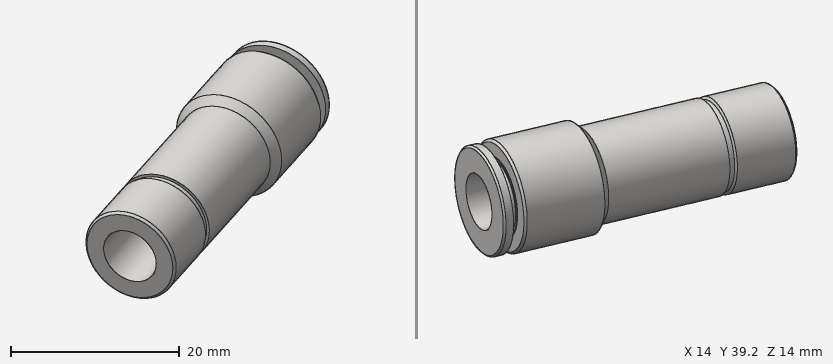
import cadquery as cq

total_length = 39.2
bore_diameter = 7.0

stem_diameter = 12.0
stem_end_chamfer = 0.3
groove_diameter = 11.3
groove_lead_start = 8.0
groove_lead_length = 0.2
groove_end = 9.0

body_diameter = 14.0
body_start = 25.0
body_shoulder_length = 1.0
body_length = 11.55
body_top_chamfer = 0.3
body_end = body_start + body_length

rim_diameter = 10.0
rim_height = 0.12
rim_end = body_end + rim_height

neck_diameter = 9.4
flange_diameter = 13.6
flange_thickness = 1.25
flange_edge_chamfer = 0.25
flange_start = total_length - flange_thickness

bore_radius = bore_diameter / 2
stem_radius = stem_diameter / 2
groove_radius = groove_diameter / 2
body_radius = body_diameter / 2
rim_radius = rim_diameter / 2
neck_radius = neck_diameter / 2
flange_radius = flange_diameter / 2


def stem_outline():
    """(radius, Y) points of the stem, from the plug end to the body."""
    return [
        (stem_radius - stem_end_chamfer, 0),
        (stem_radius, stem_end_chamfer),
        (stem_radius, groove_lead_start),
        (groove_radius, groove_lead_start + groove_lead_length),
        (groove_radius, groove_end),
        (stem_radius, groove_end),
        (stem_radius, body_start),
    ]


def body_outline():
    """(radius, Y) points of the body and the low rim on its end face."""
    return [
        (body_radius, body_start + body_shoulder_length),
        (body_radius, body_end - body_top_chamfer),
        (body_radius - body_top_chamfer, body_end),
        (rim_radius, body_end),
        (rim_radius, rim_end),
    ]


def collar_outline():
    """(radius, Y) points of the release collar, from the rim to the open end."""
    return [
        (neck_radius, rim_end),
        (neck_radius, flange_start),
        (flange_radius, flange_start),
        (flange_radius, total_length - flange_edge_chamfer),
        (flange_radius - flange_edge_chamfer, total_length),
    ]


def revolved_fitting():
    """Half section of the fitting, with its through bore, revolved about Y."""
    bore_line = [(bore_radius, total_length), (bore_radius, 0)]
    half_section = stem_outline() + body_outline() + collar_outline() + bore_line
    return cq.Workplane("XY").polyline(half_section).close().revolve(360, (0, 0, 0), (0, 1, 0))


result = revolved_fitting()